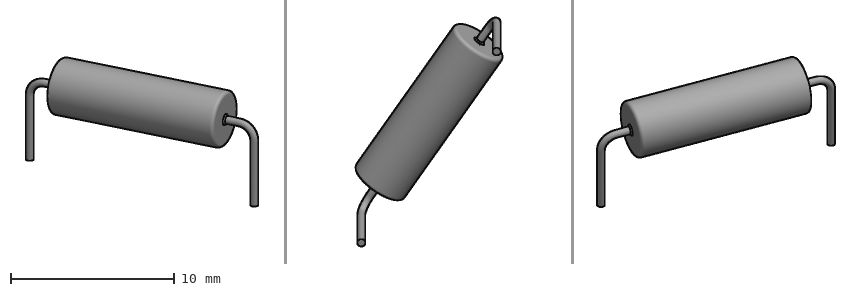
import cadquery as cq

overall_length = 15.75
overall_height = 7.2
body_length = 11.32
body_diameter = 3.6
body_edge_radius = 0.22
lead_diameter = 0.5
bend_radius = 1.01
recess_diameter = 0.72
recess_depth = 0.08
foot_projection = 0.1

body_end_x = body_length / 2
recess_floor_x = body_end_x - recess_depth
foot_tip_x = body_end_x + foot_projection
lead_radius = lead_diameter / 2
foot_radius = recess_diameter / 2
leg_x = overall_length / 2 - lead_radius
bend_start_x = leg_x - bend_radius
lead_tip_z = body_diameter / 2 - overall_height

foot_length = recess_depth + foot_projection
foot_flare = foot_radius - lead_radius
foot_arc_radius = (foot_length**2 + foot_flare**2) / (2 * foot_flare)


def make_body():
    """Cylinder along X with rounded end edges and a shallow lead recess in each end."""
    body = cq.Workplane("YZ", origin=(-body_end_x, 0, 0)).circle(body_diameter / 2).extrude(body_length)
    body = body.edges("%CIRCLE").fillet(body_edge_radius)
    for start_x in (-body_end_x, recess_floor_x):
        recess = cq.Workplane("YZ", origin=(start_x, 0, 0)).circle(foot_radius).extrude(recess_depth)
        body = body.cut(recess)
    return body


def make_foot():
    """Foot on the +X recess floor, narrowing along a concave arc to the wire diameter."""
    profile = (
        cq.Workplane("XZ")
        .moveTo(recess_floor_x, 0)
        .lineTo(foot_tip_x, 0)
        .lineTo(foot_tip_x, lead_radius)
        .radiusArc((recess_floor_x, foot_radius), -foot_arc_radius)
        .close()
    )
    return profile.revolve(360, (0, 0, 0), (1, 0, 0))


def make_wire():
    """Round wire that leaves the +X foot, bends downwards and ends in a straight leg."""
    path = (
        cq.Workplane("XZ")
        .moveTo(foot_tip_x, 0)
        .lineTo(bend_start_x, 0)
        .radiusArc((leg_x, -bend_radius), bend_radius)
        .lineTo(leg_x, lead_tip_z)
    )
    return cq.Workplane("YZ", origin=(foot_tip_x, 0, 0)).circle(lead_radius).sweep(path)


def make_lead(turn):
    """One lead, turned about Z to the body end it belongs to."""
    lead = make_foot().union(make_wire())
    return lead.rotate((0, 0, 0), (0, 0, 1), turn)


body = make_body()
leads = [make_lead(turn) for turn in (0, 180)]

result = cq.Compound.makeCompound([body.val(), *[lead.val() for lead in leads]])